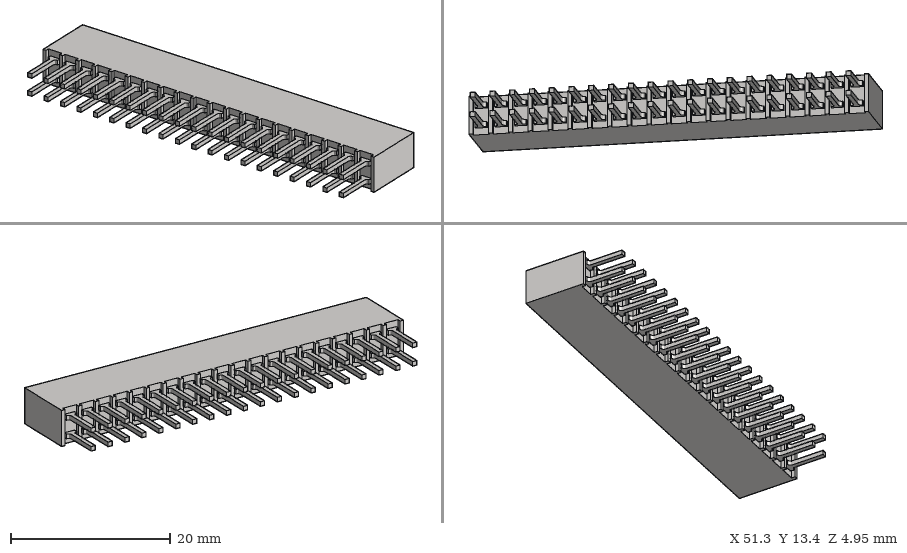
import cadquery as cq

PITCH = 2.54
PINS_PER_ROW = 20
ROW_SPACING = PITCH

WALL = 0.508
HOUSING_LENGTH = PINS_PER_ROW * PITCH + WALL
HOUSING_HEIGHT = 4.95
TOTAL_DEPTH = 13.44
PIN_PROJECTION = 4.93
HOUSING_DEPTH = TOTAL_DEPTH - PIN_PROJECTION

POCKET_WIDTH = PITCH - WALL
POCKET_DEPTH = 0.508

STEM_WIDTH = 0.635
PIN_THICKNESS = 0.635
HEAD_WIDTH = 1.524
SHOULDER_RADIUS = 0.381

PIN_FACE_Y = 0.0
POCKET_FLOOR_Y = PIN_FACE_Y + POCKET_DEPTH
PIN_TIP_Y = PIN_FACE_Y - PIN_PROJECTION

column_positions = [(i - (PINS_PER_ROW - 1) / 2) * PITCH for i in range(PINS_PER_ROW)]
row_positions = [-ROW_SPACING / 2, ROW_SPACING / 2]


def make_housing():
    """Block with one shallow full-height pocket per pin column."""
    block = cq.Workplane("XY").box(HOUSING_LENGTH, HOUSING_DEPTH, HOUSING_HEIGHT)
    block = block.translate((0, PIN_FACE_Y + HOUSING_DEPTH / 2, 0))
    pockets = (
        cq.Workplane("XY")
        .pushPoints([(x, PIN_FACE_Y + POCKET_DEPTH / 2) for x in column_positions])
        .rect(POCKET_WIDTH, POCKET_DEPTH)
        .extrude(HOUSING_HEIGHT / 2, both=True)
    )
    return block.cut(pockets)


def make_pin():
    """Flat pin: a wide head on the pocket floor, blended by arcs into a narrow stem."""
    half_head = HEAD_WIDTH / 2
    half_stem = STEM_WIDTH / 2
    shoulder_x = half_stem + SHOULDER_RADIUS
    shoulder_end_y = PIN_FACE_Y - SHOULDER_RADIUS
    return (
        cq.Workplane("XY")
        .moveTo(-half_head, POCKET_FLOOR_Y)
        .lineTo(-half_head, PIN_FACE_Y)
        .lineTo(-shoulder_x, PIN_FACE_Y)
        .radiusArc((-half_stem, shoulder_end_y), SHOULDER_RADIUS)
        .lineTo(-half_stem, PIN_TIP_Y)
        .lineTo(half_stem, PIN_TIP_Y)
        .lineTo(half_stem, shoulder_end_y)
        .radiusArc((shoulder_x, PIN_FACE_Y), SHOULDER_RADIUS)
        .lineTo(half_head, PIN_FACE_Y)
        .lineTo(half_head, POCKET_FLOOR_Y)
        .close()
        .extrude(PIN_THICKNESS / 2, both=True)
    )


pin = make_pin().val()
pins = [pin.translate(cq.Vector(x, 0, z)) for x in column_positions for z in row_positions]
result = cq.Workplane(make_housing().val().fuse(*pins))